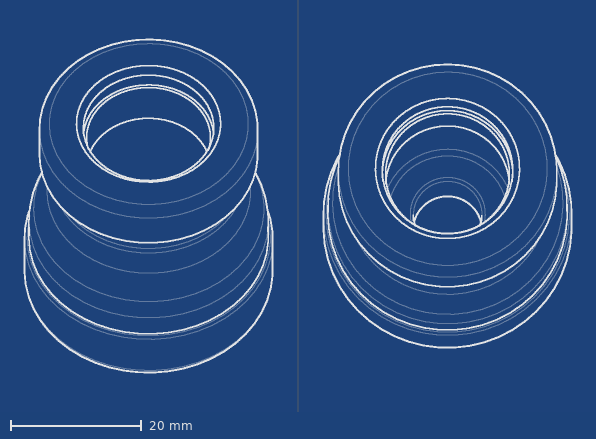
import cadquery as cq
import math

total_height = 40.0
base_radius = 19.05
base_height = 10.5
base_bottom_round = 2.0
base_top_round = 0.4

shoulder_radius = 18.35
shoulder_top = 14.75
shoulder_round = 8.0
cone_angle = math.radians(24.0)
neck_lower_round = 10.0
neck_radius = 14.75

neck_top = 27.85
neck_upper_round = 5.0
flange_radius = 16.75
flange_bottom_round = 0.7
flange_top_round = 1.5
underside_angle = math.radians(45.0)

bore_radius = 10.0
bore_floor = base_height
bore_floor_round = 0.85
bore_chamfer = 1.05
hole_radius = 5.25
hole_edge_round = 0.5

sleeve_inner_radius = 9.5
sleeve_length = 8.0
sleeve_top_depth = 3.6


def arc_drift(radius, angle):
    """Sideways distance covered by an arc that starts vertical and turns by angle."""
    return radius * (1 - math.cos(angle))


def arc_rise(radius, angle):
    """Height covered by an arc that starts vertical and turns by angle."""
    return radius * math.sin(angle)


def make_blank():
    """Solid of revolution with the outer contour of the housing."""
    cone_bottom_radius = shoulder_radius - arc_drift(shoulder_round, cone_angle)
    cone_bottom = shoulder_top + arc_rise(shoulder_round, cone_angle)
    cone_top_radius = neck_radius + arc_drift(neck_lower_round, cone_angle)
    cone_top = cone_bottom + (cone_bottom_radius - cone_top_radius) / math.tan(cone_angle)
    neck_bottom = cone_top + arc_rise(neck_lower_round, cone_angle)

    underside_inner_radius = neck_radius + arc_drift(neck_upper_round, underside_angle)
    underside_bottom = neck_top + arc_rise(neck_upper_round, underside_angle)
    underside_outer_radius = flange_radius - arc_drift(flange_bottom_round, underside_angle)
    underside_width = underside_outer_radius - underside_inner_radius
    underside_top = underside_bottom + underside_width / math.tan(underside_angle)
    flange_wall_bottom = underside_top + arc_rise(flange_bottom_round, underside_angle)

    shoulder_mid = (
        shoulder_radius - arc_drift(shoulder_round, cone_angle / 2),
        shoulder_top + arc_rise(shoulder_round, cone_angle / 2),
    )
    neck_lower_mid = (
        neck_radius + arc_drift(neck_lower_round, cone_angle / 2),
        neck_bottom - arc_rise(neck_lower_round, cone_angle / 2),
    )
    neck_upper_mid = (
        neck_radius + arc_drift(neck_upper_round, underside_angle / 2),
        neck_top + arc_rise(neck_upper_round, underside_angle / 2),
    )
    flange_bottom_mid = (
        flange_radius - arc_drift(flange_bottom_round, underside_angle / 2),
        flange_wall_bottom - arc_rise(flange_bottom_round, underside_angle / 2),
    )

    contour = (
        cq.Workplane("XZ")
        .moveTo(0, 0)
        .lineTo(base_radius, 0)
        .lineTo(base_radius, base_height)
        .lineTo(shoulder_radius, base_height)
        .lineTo(shoulder_radius, shoulder_top)
        .threePointArc(shoulder_mid, (cone_bottom_radius, cone_bottom))
        .lineTo(cone_top_radius, cone_top)
        .threePointArc(neck_lower_mid, (neck_radius, neck_bottom))
        .lineTo(neck_radius, neck_top)
        .threePointArc(neck_upper_mid, (underside_inner_radius, underside_bottom))
        .lineTo(underside_outer_radius, underside_top)
        .threePointArc(flange_bottom_mid, (flange_radius, flange_wall_bottom))
        .lineTo(flange_radius, total_height)
        .lineTo(0, total_height)
        .close()
    )
    blank = contour.revolve(360, (0, 0, 0), (0, 1, 0))
    blank = blank.faces("<Z").edges().fillet(base_bottom_round)
    blank = blank.faces(">Z").edges().fillet(flange_top_round)
    largest_circles = cq.selectors.RadiusNthSelector(-1)
    return blank.edges(largest_circles).edges(">Z").fillet(base_top_round)


def make_bore_cutter():
    """Blind bore with a rounded floor edge and a chamfered mouth."""
    bore = (
        cq.Workplane("XY", origin=(0, 0, bore_floor))
        .circle(bore_radius)
        .extrude(total_height - bore_floor)
        .faces("<Z")
        .edges()
        .fillet(bore_floor_round)
    )
    mouth = cq.Solid.makeCone(
        bore_radius,
        bore_radius + bore_chamfer,
        bore_chamfer,
        pnt=cq.Vector(0, 0, total_height - bore_chamfer),
    )
    return bore.union(cq.Workplane(mouth))


def make_housing():
    """Outer body with the bore and the through hole in its floor."""
    housing = make_blank().cut(make_bore_cutter())
    hole = cq.Workplane("XY").circle(hole_radius).extrude(total_height)
    housing = housing.cut(hole)
    floor_face = cq.selectors.NearestToPointSelector((0, 0, bore_floor))
    smallest_circles = cq.selectors.RadiusNthSelector(0)
    return housing.faces(floor_face).edges(smallest_circles).fillet(hole_edge_round)


def make_sleeve():
    """Plain thin-walled ring that lines part of the bore."""
    sleeve_bottom = total_height - sleeve_top_depth - sleeve_length
    return (
        cq.Workplane("XY", origin=(0, 0, sleeve_bottom))
        .circle(bore_radius)
        .circle(sleeve_inner_radius)
        .extrude(sleeve_length)
    )


housing = make_housing()
sleeve = make_sleeve()

result = cq.Compound.makeCompound([housing.val(), sleeve.val()])